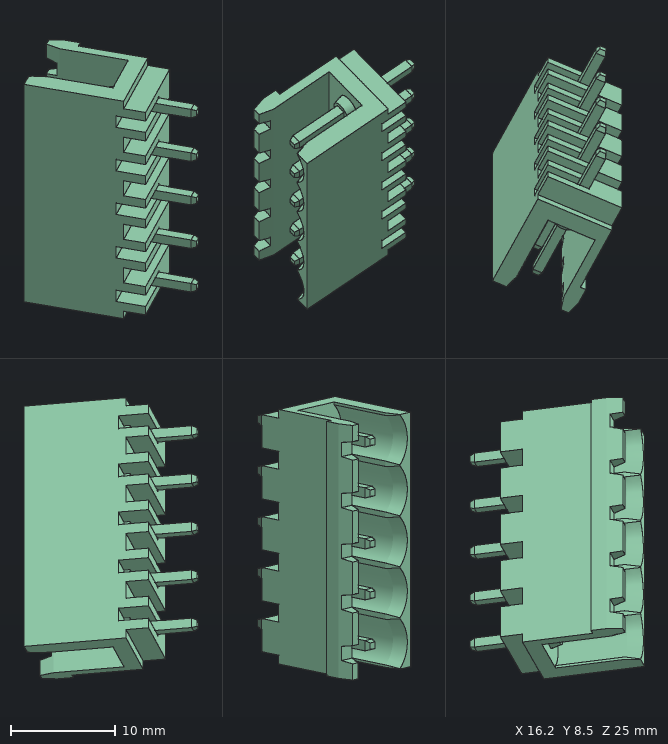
import cadquery as cq

pole_count = 5
pitch = 5.0
height = pole_count * pitch
body_length = 10.0
body_depth = 7.9
foot_end = 12.2
pole_centers = [(i + 0.5) * pitch for i in range(pole_count)]

floor_x = 8.32
front_wall_top = 1.92
latch_wall_bottom = 6.9
lead_in = 1.48
inner_taper = 0.4
latch_depth = 8.5
latch_taper = 0.4
latch_length = 3.05

pin_y = 3.92
pin_width = 1.0
pin_start = 1.35
pin_end = 16.2
pin_tip_length = 0.5
pin_tip_width = 0.65
collar_start = 7.32
collar_tip_radius = 1.0
collar_root_radius = 1.25

scallop_mouth_radius = 3.42
scallop_radius = 3.0
notch_depth = 1.18
notch_mouth_width = 1.8
notch_inner_width = 1.38

foot_span = 3.28
slot_width = 1.3
slot_start = 9.25
slot_depth = 2.5
deep_slot_start = 9.85
deep_slot_depth = pin_y + pin_width / 2


def block(x0, x1, y0, y1, z_center, z_size):
    """Axis-aligned box centred on z_center along Z."""
    box = cq.Workplane("XY").box(x1 - x0, y1 - y0, z_size, centered=(False, False, True))
    return box.translate((x0, y0, z_center))


def cone(x0, x1, radius0, radius1, z_center):
    """Cone frustum along X, coaxial with the pin at z_center."""
    solid = cq.Solid.makeCone(
        radius0, radius1, x1 - x0, pnt=cq.Vector(x0, pin_y, z_center), dir=cq.Vector(1, 0, 0)
    )
    return cq.Workplane(obj=solid)


def pin_tip(x_base, x_tip, z_center):
    """Square pyramid frustum from the full pin section to the blunt end."""
    return (
        cq.Workplane("YZ", origin=(x_base, pin_y, z_center))
        .rect(pin_width, pin_width)
        .workplane(offset=x_tip - x_base)
        .rect(pin_tip_width, pin_tip_width)
        .loft(ruled=True)
    )


def pin(z_center):
    shank_start = pin_start + pin_tip_length
    shank_end = pin_end - pin_tip_length
    half = pin_width / 2
    shank = block(shank_start, shank_end, pin_y - half, pin_y + half, z_center, pin_width)
    front_tip = pin_tip(shank_start, pin_start, z_center)
    rear_tip = pin_tip(shank_end, pin_end, z_center)
    return shank.union(front_tip).union(rear_tip)


def scallop(z_center):
    """Round cut in the thick wall: flared at the mouth, then straight down to the cavity floor."""
    flare = cone(0, lead_in, scallop_mouth_radius, scallop_radius, z_center)
    bore = cq.Workplane("YZ", origin=(lead_in, pin_y, z_center)).circle(scallop_radius)
    bore = bore.extrude(floor_x - lead_in)
    wall_side = block(0, floor_x, 0, pin_y, z_center, pitch)
    return flare.union(bore).intersect(wall_side)


def latch_notch(z_center):
    """Tapered notch through the full thickness of the latch wall."""
    mouth = notch_mouth_width / 2
    inner = notch_inner_width / 2
    return (
        cq.Workplane("XZ", origin=(0, pin_y, z_center))
        .polyline([(0, -mouth), (0, mouth), (notch_depth, inner), (notch_depth, -inner)])
        .close()
        .extrude(-(latch_depth - pin_y))
    )


housing = (
    cq.Workplane("XY")
    .polyline([
        (0, 0),
        (body_length, 0),
        (body_length, body_depth),
        (latch_length, body_depth),
        (latch_length, latch_depth),
        (lead_in, latch_depth),
        (0, latch_depth - latch_taper),
        (0, latch_wall_bottom + inner_taper),
        (lead_in, latch_wall_bottom),
        (floor_x, latch_wall_bottom),
        (floor_x, front_wall_top),
        (lead_in, front_wall_top),
        (0, front_wall_top - inner_taper),
    ])
    .close()
    .extrude(height)
)

for z in pole_centers:
    foot = block(body_length, foot_end, 0, body_depth, z, foot_span)
    slot = block(slot_start, foot_end, 0, slot_depth, z, slot_width)
    deep_slot = block(deep_slot_start, foot_end, 0, deep_slot_depth, z, slot_width)
    collar = cone(collar_start, floor_x, collar_tip_radius, collar_root_radius, z)
    housing = housing.union(foot).cut(slot).cut(deep_slot)
    housing = housing.cut(scallop(z)).cut(latch_notch(z))
    housing = housing.union(collar).union(pin(z))

result = housing